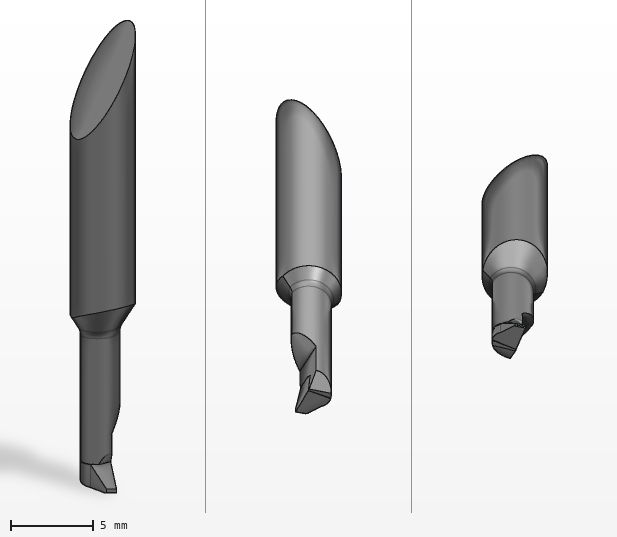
import cadquery as cq
import math

SHANK_RADIUS = 2.0
LENGTH = 30.7
BEVEL_ANGLE = math.radians(30)
BEVEL_DROP = 2 * SHANK_RADIUS / math.tan(BEVEL_ANGLE)

NECK_RADIUS = 1.38
BAR_OFFSET = 0.65
SHOULDER_Z = 11.6
BLEND_RADIUS = 0.98
CONE_CORNER_Z = SHOULDER_Z - (SHANK_RADIUS - NECK_RADIUS) / math.tan(BEVEL_ANGLE)
BLEND_TANGENT = BLEND_RADIUS * math.tan(BEVEL_ANGLE / 2)

RAKE_Y = 0.23
FLAT_TOP_Z = 3.78
NECK_CHAMFER_Z = 1.17

RELIEF_TOP_Z = 2.45
RELIEF_X = 0.58

INSERT_LEFT_X = -0.6
INSERT_LEFT_Z = 1.6
INSERT_TOP_LEFT_X = -0.3
INSERT_TOP_Z = 1.85
INSERT_HEEL_X = -0.37
INSERT_HEEL_Z = 0.25
TIP_X = 1.3
TIP_LAND_Z = 0.3
TIP_CORNER = 0.05

END_CLEARANCE = math.tan(math.radians(8))
FLANK_CLEARANCE = math.tan(math.radians(12))

FRONT_START = (INSERT_LEFT_X, -1.25)
FRONT_MIDDLE = (-0.1, -1.32)
FRONT_END = (0.3, -1.05)
FRONT_TIP_Y = -0.3

MARGIN = 1.55


def extrude_along_y(points):
    """Prism through the whole part with a polygon outline in XZ."""
    depth = SHANK_RADIUS + MARGIN
    return cq.Workplane("XZ").polyline(points).close().extrude(depth, both=True)


def extrude_along_x(points):
    """Prism through the whole part with a polygon outline in YZ."""
    depth = SHANK_RADIUS + MARGIN
    return cq.Workplane("YZ").polyline(points).close().extrude(depth, both=True)


def make_bar(axis_x):
    """Round neck widening through a blended cone, wide enough to hold the whole shank."""
    top_radius = SHANK_RADIUS + BAR_OFFSET + MARGIN
    cone_top_z = CONE_CORNER_Z + (top_radius - NECK_RADIUS) / math.tan(BEVEL_ANGLE)
    blend_bottom = (NECK_RADIUS, CONE_CORNER_Z - BLEND_TANGENT)
    blend_top = (
        NECK_RADIUS + BLEND_TANGENT * math.sin(BEVEL_ANGLE),
        CONE_CORNER_Z + BLEND_TANGENT * math.cos(BEVEL_ANGLE),
    )
    blend_middle = (
        NECK_RADIUS + BLEND_RADIUS * (1 - math.cos(BEVEL_ANGLE / 2)),
        blend_bottom[1] + BLEND_RADIUS * math.sin(BEVEL_ANGLE / 2),
    )
    profile = (
        cq.Workplane("XZ")
        .lineTo(NECK_RADIUS, 0)
        .lineTo(*blend_bottom)
        .threePointArc(blend_middle, blend_top)
        .lineTo(top_radius, cone_top_z)
        .lineTo(top_radius, LENGTH)
        .lineTo(0, LENGTH)
        .close()
    )
    return profile.revolve(360, (0, 0, 0), (0, 1, 0)).translate((axis_x, 0, 0))


def insert_outline(distance):
    """Corners of the insert in XZ at a distance behind the rake face."""
    rise = distance * END_CLEARANCE
    inset = distance * FLANK_CLEARANCE
    return [
        (INSERT_LEFT_X, INSERT_LEFT_Z),
        (INSERT_TOP_LEFT_X, INSERT_TOP_Z),
        (RELIEF_X - inset, INSERT_TOP_Z),
        (TIP_X - inset, TIP_LAND_Z + rise),
        (TIP_X - inset, TIP_CORNER + rise),
        (TIP_X - TIP_CORNER - inset, rise),
        (INSERT_HEEL_X, INSERT_HEEL_Z + rise),
    ]


def make_holder():
    """Shank and neck, with an open pocket for the insert."""
    holder = cq.Workplane("XY").circle(SHANK_RADIUS).extrude(LENGTH)
    for axis_x in (0, -BAR_OFFSET):
        holder = holder.intersect(make_bar(axis_x))

    holder = holder.cut(extrude_along_x([
        (-SHANK_RADIUS, LENGTH - BEVEL_DROP),
        (SHANK_RADIUS, LENGTH),
        (-SHANK_RADIUS, LENGTH),
    ]))

    run_out = (SHANK_RADIUS - RAKE_Y) / math.tan(BEVEL_ANGLE)
    holder = holder.cut(extrude_along_x([
        (RAKE_Y, -MARGIN),
        (RAKE_Y, FLAT_TOP_Z),
        (SHANK_RADIUS, FLAT_TOP_Z + run_out),
        (SHANK_RADIUS, -MARGIN),
    ]))

    holder = holder.cut(extrude_along_y([
        (-NECK_RADIUS, NECK_CHAMFER_Z),
        (NECK_CHAMFER_Z - NECK_RADIUS, 0),
        (-NECK_RADIUS, 0),
    ]))

    neck_right_x = NECK_RADIUS - BAR_OFFSET
    holder = holder.cut(extrude_along_y([
        (neck_right_x, RELIEF_TOP_Z),
        (RELIEF_X, INSERT_TOP_Z),
        (neck_right_x, INSERT_TOP_Z),
    ]))

    pocket = extrude_along_y([
        (INSERT_LEFT_X, INSERT_LEFT_Z),
        (INSERT_TOP_LEFT_X, INSERT_TOP_Z),
        (TIP_X, INSERT_TOP_Z),
        (TIP_X, -MARGIN),
        (INSERT_HEEL_X, -MARGIN),
        (INSERT_HEEL_X, INSERT_HEEL_Z),
    ])
    holder = holder.cut(pocket)

    return holder.cut(make_end_clearance())


def make_end_clearance():
    """Space below the sloping end face, which continues from the insert across the neck."""
    slope = INSERT_HEEL_Z / (TIP_X - TIP_CORNER - INSERT_HEEL_X)
    left_z = INSERT_HEEL_Z + slope * (INSERT_HEEL_X + NECK_RADIUS)
    corners = [
        (-NECK_RADIUS, left_z),
        (INSERT_HEEL_X, INSERT_HEEL_Z),
        (INSERT_HEEL_X, -MARGIN),
        (-NECK_RADIUS, -MARGIN),
    ]
    rise = (RAKE_Y + NECK_RADIUS) * END_CLEARANCE
    raised = [(x, z + rise) for x, z in corners]
    return (
        cq.Workplane("XZ", origin=(0, RAKE_Y, 0))
        .polyline(corners).close()
        .workplane(offset=RAKE_Y + NECK_RADIUS)
        .polyline(raised).close()
        .loft(ruled=True)
    )


def make_insert():
    """Cutting insert tapering from its rake face, trimmed by its front face."""
    depth = RAKE_Y + NECK_RADIUS
    blank = (
        cq.Workplane("XZ", origin=(0, RAKE_Y, 0))
        .polyline(insert_outline(0)).close()
        .workplane(offset=depth)
        .polyline(insert_outline(depth)).close()
        .loft(ruled=True)
    )
    plan = (
        cq.Workplane("XY")
        .moveTo(*FRONT_START)
        .threePointArc(FRONT_MIDDLE, FRONT_END)
        .lineTo(TIP_X, FRONT_TIP_Y)
        .lineTo(TIP_X, RAKE_Y)
        .lineTo(INSERT_LEFT_X, RAKE_Y)
        .close()
        .extrude(INSERT_TOP_Z)
    )
    return blank.intersect(plan)


holder = make_holder()
insert = make_insert()
result = cq.Compound.makeCompound([holder.solids().val(), insert.solids().val()])